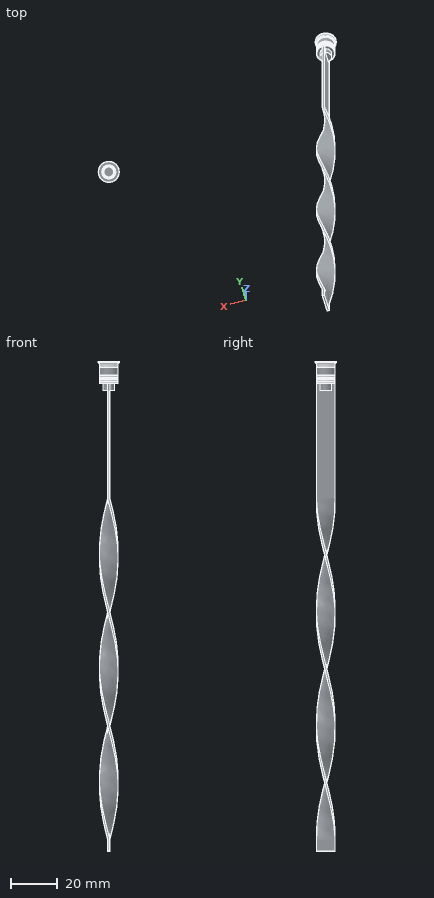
import cadquery as cq

total_length = 209.5

flange_diameter = 9.0
flange_rim = 0.5
sleeve_diameter = 8.0
sleeve_length = 9.5
bore_chamfer = 0.5

groove_width = 0.5
upper_groove_depth = 2.0
lower_groove_depth = 5.8
lower_groove_pitch = 1.0
lower_groove_count = 4

pin_diameter = 5.0
pin_recess = 1.0
pin_overhang = 3.0
pin_chamfer = 0.4

strip_width = sleeve_diameter
strip_thickness = 1.0
straight_length = 49.0
tail_length = 5.0
twist_angle = -540.0

flange_radius = flange_diameter / 2
sleeve_radius = sleeve_diameter / 2
pin_radius = pin_diameter / 2
groove_radius = groove_width / 2
flange_depth = flange_rim + flange_radius - sleeve_radius
pin_end = sleeve_length + pin_overhang
groove_depths = [upper_groove_depth] + [
    lower_groove_depth + number * lower_groove_pitch for number in range(lower_groove_count)
]


def make_sleeve():
    """Sleeve with a cone-backed flange, half-round ring grooves and a chamfered through bore."""
    outline = (
        cq.Workplane("XZ")
        .moveTo(-pin_radius - bore_chamfer, 0)
        .lineTo(-flange_radius, 0)
        .lineTo(-flange_radius, -flange_rim)
        .lineTo(-sleeve_radius, -flange_depth)
    )
    for depth in groove_depths:
        groove_middle = (groove_radius - sleeve_radius, -depth - groove_radius)
        groove_end = (-sleeve_radius, -depth - groove_width)
        outline = outline.lineTo(-sleeve_radius, -depth).threePointArc(groove_middle, groove_end)
    return (
        outline
        .lineTo(-sleeve_radius, -sleeve_length)
        .lineTo(-pin_radius, -sleeve_length)
        .lineTo(-pin_radius, -bore_chamfer)
        .close()
        .revolve(360, (0, 0, 0), (0, 1, 0))
    )


def strip_section(z):
    """Cross-section of the strip at height z."""
    return cq.Workplane("XY").workplane(offset=z).rect(strip_thickness, strip_width)


def make_pin():
    """Round pin with a chamfered top, slotted below the sleeve to straddle the strip."""
    pin = (
        cq.Workplane("XY")
        .workplane(offset=-pin_end)
        .circle(pin_radius)
        .extrude(pin_end - pin_recess)
        .faces(">Z")
        .chamfer(pin_chamfer)
    )
    slot = strip_section(-pin_end).extrude(pin_overhang)
    return pin.cut(slot)


def make_strip():
    """Flat strip with one and a half turns of twist between two straight ends."""
    twist_top = -sleeve_length - straight_length
    twist_bottom = tail_length - total_length
    straight = strip_section(twist_top).extrude(straight_length)
    twist = strip_section(twist_bottom).twistExtrude(twist_top - twist_bottom, twist_angle)
    tail = strip_section(-total_length).extrude(tail_length)
    return straight.union(twist).union(tail)


sleeve = make_sleeve()
pin = make_pin()
strip = make_strip()
result = cq.Compound.makeCompound([sleeve.val(), pin.val(), strip.val()])